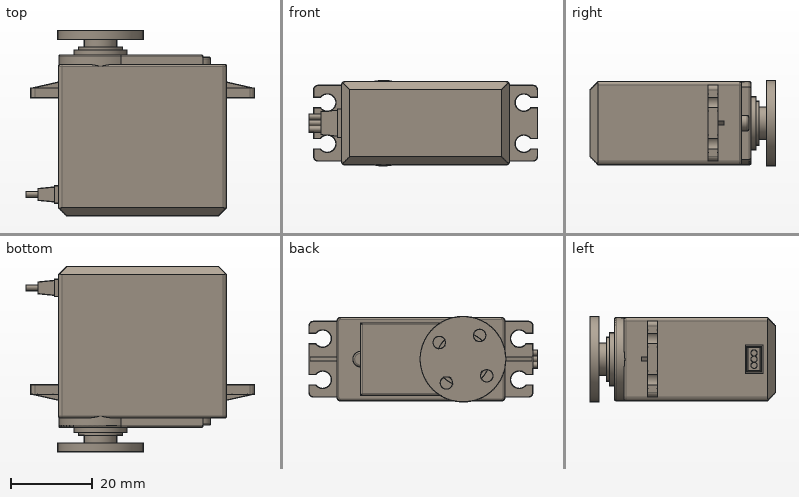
import cadquery as cq
import math


CASE_LENGTH = 41.05
CASE_DEPTH = 37.0
CASE_THICKNESS = 20.35
CASE_CHAMFER = 2.0
CASE_CORNER_RADIUS = 0.9
RIM_FILLET = 0.45
SHAFT_TO_CASE_END = 10.25
CASE_LEFT = -SHAFT_TO_CASE_END
CASE_RIGHT = CASE_LEFT + CASE_LENGTH
CASE_MIDDLE = CASE_LEFT + CASE_LENGTH / 2
CASE_BOTTOM = -CASE_DEPTH

COVER_HEIGHT = 2.35
COVER_RADIUS = CASE_THICKNESS / 2
TAIL_START = 5.0
TAIL_HALF_WIDTH = math.sqrt(COVER_RADIUS**2 - TAIL_START**2)
TAIL_END = CASE_RIGHT - 5.8
BOSS_RADIUS = 1.9
BOSS_HEIGHT = 1.8

SHAFT_STEPS = [(13.0, 1.2), (10.8, 0.7), (8.0, 1.8)]
SHAFT_END = COVER_HEIGHT + sum(length for _, length in SHAFT_STEPS)

HORN_DIAMETER = 20.9
HORN_THICKNESS = 2.25
HORN_HOLE_COUNT = 4
HORN_HOLE_DIAMETER = 3.0
HORN_HOLE_CIRCLE_RADIUS = 7.1
HORN_HOLE_START_ANGLE = 35

LUG_LENGTH = 6.8
LUG_WIDTH = 18.5
LUG_THICKNESS = 2.4
LUG_TOP = -5.75
LUG_CORNER_RADIUS = 1.1
SCREW_HOLE_DIAMETER = 4.2
SCREW_HOLE_SPACING = 10.05
SCREW_HOLE_TO_CASE = 3.45
SCREW_SLOT_WIDTH = 2.5
GUSSET_RISE = 1.45
GUSSET_LENGTH = 6.4
GUSSET_THICKNESS = 1.0

CABLE_Y = CASE_BOTTOM + 5.25
FLANGE_THICKNESS = 1.0
FLANGE_SIZE = (4.3, 7.05)
BOOT_LENGTH = 4.0
BOOT_BASE_SIZE = (3.7, 6.3)
BOOT_TIP_SIZE = (2.9, 5.6)
WIRE_DIAMETER = 1.5
WIRE_LENGTH = 2.9
WIRE_COUNT = 3


def plane_facing_y(y):
    """Plane at the given Y with normal +Y: its local x is -X and its local y is Z."""
    return cq.Plane(origin=(0, y, 0), xDir=(-1, 0, 0), normal=(0, 1, 0))


def cylinder_along_y(diameter, y_start, length, x=0, z=0):
    return cq.Workplane(plane_facing_y(y_start)).center(-x, z).circle(diameter / 2).extrude(length)


def make_case():
    """Box with a chamfered bottom, rounded long edges and a filleted rim."""
    block = cq.Workplane("XY").box(CASE_LENGTH, CASE_DEPTH, CASE_THICKNESS)
    rounded = block.edges("|Y").fillet(CASE_CORNER_RADIUS).faces(">Y").edges().fillet(RIM_FILLET)
    chamfered = block.faces("<Y").edges().chamfer(CASE_CHAMFER)
    return rounded.intersect(chamfered).translate((CASE_MIDDLE, CASE_BOTTOM / 2, 0))


def make_cover():
    """Gear cover with a filleted top, reaching down through the case rim fillet."""
    height = COVER_HEIGHT + RIM_FILLET
    round_end = cylinder_along_y(2 * COVER_RADIUS, -RIM_FILLET, height)
    tail = cq.Workplane("XY").box(
        TAIL_END, height, 2 * TAIL_HALF_WIDTH, centered=(False, False, True)
    ).translate((0, -RIM_FILLET, 0))
    cover = round_end.union(tail).faces(">Y").edges().fillet(RIM_FILLET)
    boss = cylinder_along_y(2 * BOSS_RADIUS, 0, BOSS_HEIGHT, x=TAIL_END)
    return cover.union(boss.faces(">Y").edges().fillet(RIM_FILLET))


def make_shaft():
    shaft = cq.Workplane("XY")
    y = COVER_HEIGHT
    for diameter, length in SHAFT_STEPS:
        shaft = shaft.add(cylinder_along_y(diameter, y, length))
        y += length
    return shaft.combine()


def make_right_lug():
    """Mounting lug with two open screw holes and a gusset in the middle."""
    lug_bottom = LUG_TOP - LUG_THICKNESS
    lug = (
        cq.Workplane("XY")
        .box(LUG_LENGTH, LUG_THICKNESS, LUG_WIDTH, centered=(False, False, True))
        .edges("|Y and >X")
        .fillet(LUG_CORNER_RADIUS)
        .translate((CASE_RIGHT, lug_bottom, 0))
    )
    hole_x = CASE_RIGHT + SCREW_HOLE_TO_CASE
    for hole_z in (-SCREW_HOLE_SPACING / 2, SCREW_HOLE_SPACING / 2):
        hole = cylinder_along_y(SCREW_HOLE_DIAMETER, lug_bottom, LUG_THICKNESS, hole_x, hole_z)
        slot = cq.Workplane("XY").box(
            LUG_LENGTH, LUG_THICKNESS, SCREW_SLOT_WIDTH, centered=(False, False, True)
        ).translate((hole_x, lug_bottom, hole_z))
        lug = lug.cut(hole).cut(slot)
    gusset = (
        cq.Workplane("XY")
        .moveTo(CASE_RIGHT, LUG_TOP)
        .lineTo(CASE_RIGHT + GUSSET_LENGTH, LUG_TOP)
        .lineTo(CASE_RIGHT, LUG_TOP + GUSSET_RISE)
        .close()
        .extrude(GUSSET_THICKNESS / 2, both=True)
    )
    return lug.union(gusset)


def make_grommet():
    """Cable grommet on the left side of the case: a flange and a tapered boot."""
    side = cq.Plane(origin=(CASE_LEFT, CABLE_Y, 0), xDir=(0, 1, 0), normal=(-1, 0, 0))
    flange = cq.Workplane(side).rect(*FLANGE_SIZE).extrude(FLANGE_THICKNESS)
    boot = (
        cq.Workplane(side)
        .workplane(offset=FLANGE_THICKNESS)
        .rect(*BOOT_BASE_SIZE)
        .workplane(offset=BOOT_LENGTH)
        .rect(*BOOT_TIP_SIZE)
        .loft()
    )
    return flange.union(boot)


def make_housing():
    right_lug = make_right_lug()
    left_lug = right_lug.mirror("YZ", (CASE_MIDDLE, 0, 0))
    housing = make_case()
    for feature in (make_cover(), make_shaft(), right_lug, left_lug, make_grommet()):
        housing = housing.union(feature)
    return housing


def make_horn():
    """Round horn seated on the end of the shaft."""
    horn = cylinder_along_y(HORN_DIAMETER, SHAFT_END, HORN_THICKNESS)
    for index in range(HORN_HOLE_COUNT):
        angle = math.radians(HORN_HOLE_START_ANGLE + index * 360 / HORN_HOLE_COUNT)
        hole_x = HORN_HOLE_CIRCLE_RADIUS * math.cos(angle)
        hole_z = HORN_HOLE_CIRCLE_RADIUS * math.sin(angle)
        hole = cylinder_along_y(HORN_HOLE_DIAMETER, SHAFT_END, HORN_THICKNESS, hole_x, hole_z)
        horn = horn.cut(hole)
    return horn


def make_wire(z):
    """Wire running along -X from the tip of the grommet."""
    start_x = CASE_LEFT - FLANGE_THICKNESS - BOOT_LENGTH
    start = cq.Plane(origin=(start_x, CABLE_Y, z), xDir=(0, 1, 0), normal=(-1, 0, 0))
    return cq.Workplane(start).circle(WIRE_DIAMETER / 2).extrude(WIRE_LENGTH)


housing = make_housing()
horn = make_horn()
first_wire_z = -(WIRE_COUNT - 1) / 2 * WIRE_DIAMETER
wires = [make_wire(first_wire_z + index * WIRE_DIAMETER) for index in range(WIRE_COUNT)]

result = cq.Compound.makeCompound([housing.val(), horn.val(), *[wire.val() for wire in wires]])